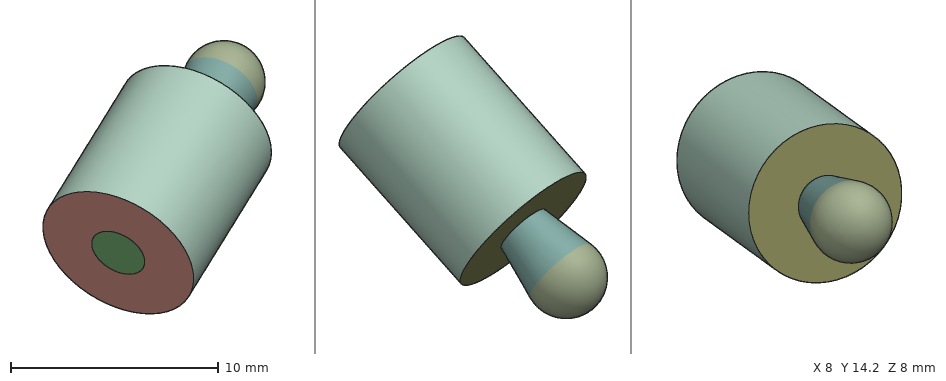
import cadquery as cq
import math

total_length = 14.19
housing_length = 9.0
housing_radius = 4.0
shank_radius = 1.4
ball_radius = 2.0

ball_center_y = total_length - ball_radius
neck_start_offset = ball_center_y - housing_length
neck_start_distance = math.hypot(neck_start_offset, shank_radius)
neck_start_angle = math.atan2(shank_radius, neck_start_offset)
tangent_angle = neck_start_angle + math.acos(ball_radius / neck_start_distance)
tangent_radius = ball_radius * math.sin(tangent_angle)
tangent_y = ball_center_y - ball_radius * math.cos(tangent_angle)


def make_housing():
    """Cylindrical housing with a through bore that fits the pin shank."""
    profile = (
        cq.Workplane("XY")
        .moveTo(shank_radius, 0)
        .lineTo(housing_radius, 0)
        .lineTo(housing_radius, housing_length)
        .lineTo(shank_radius, housing_length)
        .close()
    )
    return profile.revolve(360, (0, 0, 0), (0, 1, 0))


def make_pin():
    """Pin with a straight shank, a flaring neck and a ball end."""
    profile = (
        cq.Workplane("XY")
        .moveTo(0, 0)
        .lineTo(shank_radius, 0)
        .lineTo(shank_radius, housing_length)
        .lineTo(tangent_radius, tangent_y)
        .threePointArc((ball_radius, ball_center_y), (0, total_length))
        .close()
    )
    return profile.revolve(360, (0, 0, 0), (0, 1, 0))


housing = make_housing()
pin = make_pin()

result = cq.Compound.makeCompound([housing.val(), pin.val()])